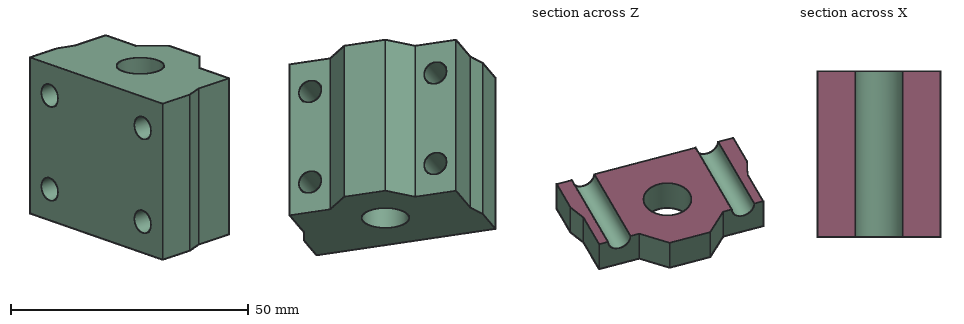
import cadquery as cq

width = 40.0
depth = 26.0
height = 35.0

flange_depth = 8.0
taper_end = 12.0
shoulder_depth = 21.0
side_inset = 1.4
ridge_base_width = 19.0
ridge_top_width = 9.2

bore_diameter = 10.0
bore_offset = 13.0
mount_diameter = 5.0
mount_spacing_x = 28.0
mount_spacing_z = 21.0


def make_body():
    """Extrude the profile, symmetric about X = 0, up along Z."""
    right_side = [
        (width / 2, 0),
        (width / 2, flange_depth),
        (width / 2 - side_inset, taper_end),
        (width / 2 - side_inset, shoulder_depth),
        (ridge_base_width / 2, shoulder_depth),
        (ridge_top_width / 2, depth),
    ]
    left_side = [(-x, y) for x, y in reversed(right_side)]
    return cq.Workplane("XY").polyline(right_side + left_side).close().extrude(height)


def make_bore():
    """Vertical shaft bore through the full height."""
    return cq.Workplane("XY").center(0, bore_offset).circle(bore_diameter / 2).extrude(height)


def make_mounting_holes():
    """Four holes running along Y through the full depth."""
    return (
        cq.Workplane("XZ")
        .center(0, height / 2)
        .rarray(mount_spacing_x, mount_spacing_z, 2, 2)
        .circle(mount_diameter / 2)
        .extrude(-depth)
    )


result = make_body().cut(make_bore()).cut(make_mounting_holes())